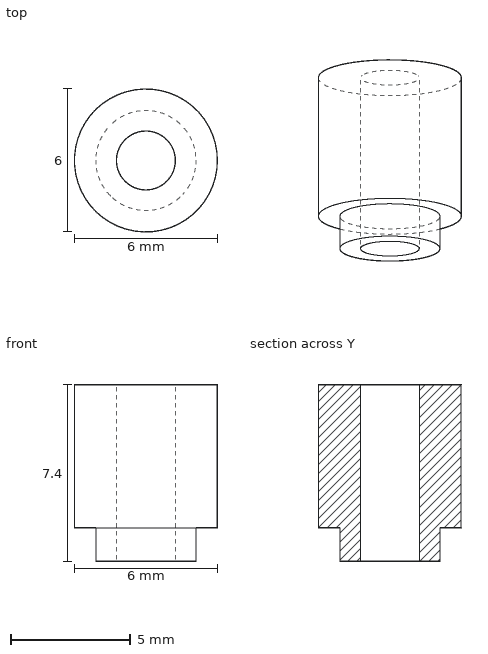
import cadquery as cq

body_diameter = 6.0
body_height = 6.0
spigot_diameter = 4.2
spigot_height = 1.4
bore_diameter = 2.46

body = cq.Workplane("XY").circle(body_diameter / 2).extrude(body_height)
spigot = cq.Workplane("XY").circle(spigot_diameter / 2).extrude(-spigot_height)

bore = (
    cq.Workplane("XY", origin=(0, 0, -spigot_height))
    .circle(bore_diameter / 2)
    .extrude(spigot_height + body_height)
)

result = body.union(spigot).cut(bore)